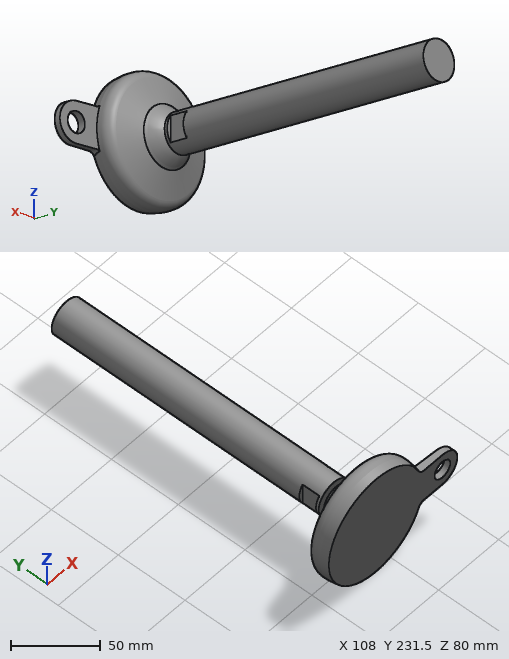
import cadquery as cq
import math

TOTAL_LENGTH = 231.5

SOLE_RADIUS = 39.1
RIM_RADIUS = 40.0
RIM_BOTTOM = 5.8
RIM_TOP = 9.3
CONE_SLOPE = math.radians(19.5)
CONE_TOP_RADIUS = 19.0
CONE_TOP_Y = 21.8
DOME_BASE_RADIUS = 17.5
DOME_BASE_Y = 23.2
DOME_MID_RADIUS = 12.3
DOME_MID_Y = 28.5
NECK_RADIUS = 5.5

STEM_RADIUS = 12.5
STEM_BOTTOM = 31.5
FLAT_BOTTOM = 33.5
FLAT_TOP = 46.0
ACROSS_FLATS = 19.5

LUG_HALF_WIDTH = 12.5
LUG_CENTRE_X = 55.5
LUG_HOLE_RADIUS = 6.5
LUG_ROOT_FILLET = 4.6
LUG_TIP_THICKNESS = 4.2


def cylinder_along_y(radius, bottom, top, x=0.0):
    base = cq.Workplane("XZ", origin=(x, bottom, 0))
    return base.circle(radius).extrude(bottom - top)


def make_foot():
    corner_y = CONE_TOP_Y - (RIM_RADIUS - CONE_TOP_RADIUS) * math.tan(CONE_SLOPE)
    tangent_length = corner_y - RIM_TOP
    shoulder_radius = RIM_RADIUS - tangent_length * math.cos(CONE_SLOPE)
    shoulder_y = corner_y + tangent_length * math.sin(CONE_SLOPE)
    profile = (
        cq.Workplane("XY")
        .lineTo(SOLE_RADIUS, 0)
        .lineTo(RIM_RADIUS, RIM_BOTTOM)
        .lineTo(RIM_RADIUS, RIM_TOP)
        .tangentArcPoint((shoulder_radius, shoulder_y), relative=False)
        .lineTo(CONE_TOP_RADIUS, CONE_TOP_Y)
        .lineTo(DOME_BASE_RADIUS, DOME_BASE_Y)
        .threePointArc((DOME_MID_RADIUS, DOME_MID_Y), (NECK_RADIUS, STEM_BOTTOM))
        .lineTo(0, STEM_BOTTOM)
        .close()
    )
    return profile.revolve(360, (0, 0, 0), (0, 1, 0))


def make_stem():
    stem = cylinder_along_y(STEM_RADIUS, STEM_BOTTOM, TOTAL_LENGTH)
    flat_length = FLAT_TOP - FLAT_BOTTOM
    flat_depth = STEM_RADIUS
    for side in (-1, 1):
        cutter = cq.Workplane("XY").box(flat_depth, flat_length, 2 * STEM_RADIUS)
        flat_x = side * (ACROSS_FLATS + flat_depth) / 2
        stem = stem.cut(cutter.translate((flat_x, (FLAT_BOTTOM + FLAT_TOP) / 2, 0)))
    return stem


def make_lug():
    fillet_z = LUG_HALF_WIDTH + LUG_ROOT_FILLET
    fillet_reach = SOLE_RADIUS + LUG_ROOT_FILLET
    fillet_x = math.sqrt(fillet_reach**2 - fillet_z**2)
    touch_x = fillet_x * SOLE_RADIUS / fillet_reach
    touch_z = fillet_z * SOLE_RADIUS / fillet_reach
    mid_angle = (math.atan2(-fillet_z, -fillet_x) - math.pi / 2) / 2
    mid_x = fillet_x + LUG_ROOT_FILLET * math.cos(mid_angle)
    mid_z = fillet_z + LUG_ROOT_FILLET * math.sin(mid_angle)
    tip_x = LUG_CENTRE_X + LUG_HALF_WIDTH

    outline = (
        cq.Workplane("XZ")
        .lineTo(touch_x, touch_z)
        .threePointArc((mid_x, mid_z), (fillet_x, LUG_HALF_WIDTH))
        .lineTo(LUG_CENTRE_X, LUG_HALF_WIDTH)
        .threePointArc((tip_x, 0), (LUG_CENTRE_X, -LUG_HALF_WIDTH))
        .lineTo(fillet_x, -LUG_HALF_WIDTH)
        .threePointArc((mid_x, -mid_z), (touch_x, -touch_z))
        .close()
        .extrude(-RIM_BOTTOM)
    )
    taper = (
        cq.Workplane("XY")
        .lineTo(tip_x, 0)
        .lineTo(tip_x, LUG_TIP_THICKNESS)
        .lineTo(SOLE_RADIUS, RIM_BOTTOM)
        .lineTo(0, RIM_BOTTOM)
        .close()
        .extrude(SOLE_RADIUS, both=True)
    )
    return outline.intersect(taper)


foot = make_foot().union(make_lug())
lug_hole = cylinder_along_y(LUG_HOLE_RADIUS, 0, RIM_BOTTOM, LUG_CENTRE_X)
result = foot.union(make_stem()).cut(lug_hole)